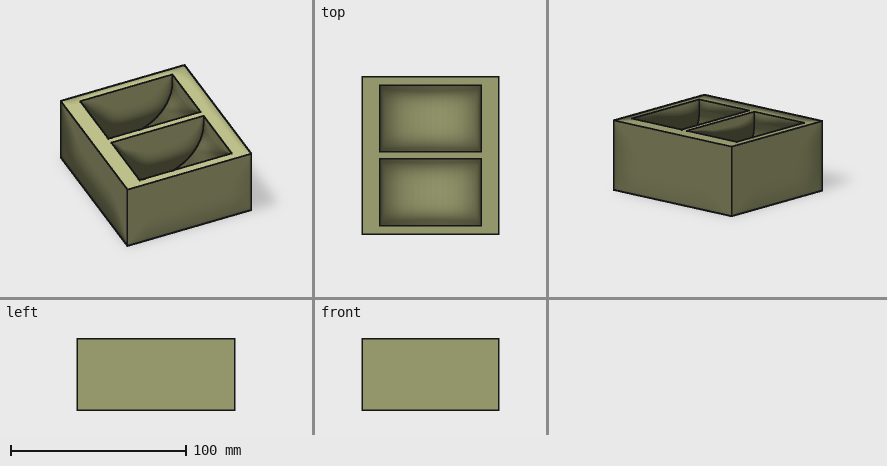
import cadquery as cq

trough_radius = 29.0
trough_length = 38.0
straight_depth = 6.0

side_wall = 10.0
end_wall = 5.0
divider = 4.0
floor_thickness = 6.0

length_x = 2 * (trough_radius + side_wall)
length_y = 2 * (trough_length + end_wall) + divider
height = floor_thickness + trough_radius + straight_depth

trough_pitch = trough_length + divider
axis_z = height - straight_depth


def make_block():
    """Plain block standing on Z = 0, centred on X and Y."""
    return cq.Workplane("XY").box(length_x, length_y, height, centered=(True, True, False))


def make_trough_cutter(center_y):
    """U-shaped bar along Y: half-round bottom, vertical sides, open at the top face."""
    profile = (
        cq.Workplane("XZ", origin=(0, center_y + trough_length / 2, 0))
        .moveTo(-trough_radius, height)
        .lineTo(-trough_radius, axis_z)
        .threePointArc((0, axis_z - trough_radius), (trough_radius, axis_z))
        .lineTo(trough_radius, height)
        .close()
    )
    return profile.extrude(trough_length)


result = make_block()
for side in (-1, 1):
    result = result.cut(make_trough_cutter(side * trough_pitch / 2))